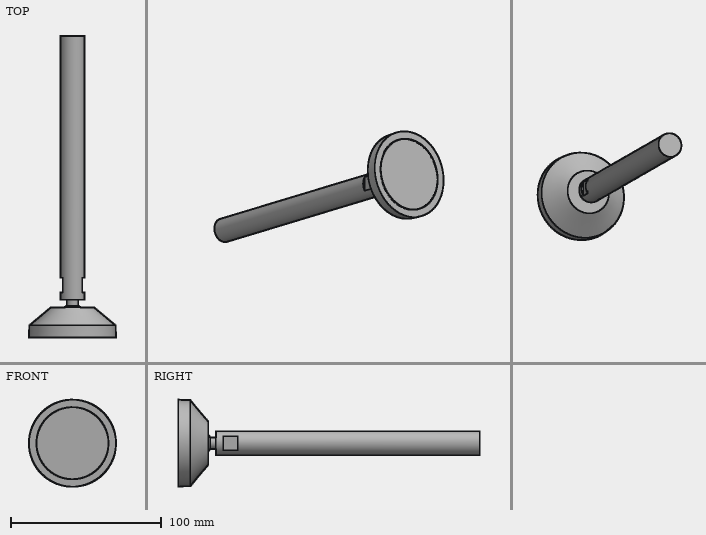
import cadquery as cq
import math

TOTAL_LENGTH = 200.0

FOOT_DIAMETER = 58.0
RIM_TOP_DIAMETER = 57.5
RIM_HEIGHT = 8.0
FOOT_TOP_DIAMETER = 28.8
FOOT_HEIGHT = 20.0

GROOVE_OUTER_DIAMETER = 48.0
GROOVE_INNER_DIAMETER = 47.5
GROOVE_DEPTH = 1.0

BALL_DIAMETER = 16.0
NECK_DIAMETER = 7.8
NECK_START = 21.2
ROD_DIAMETER = 16.0
ROD_START = 25.0
FLATS_START = 30.0
FLATS_LENGTH = 9.5
ACROSS_FLATS = 13.0

BALL_RADIUS = BALL_DIAMETER / 2
BALL_CENTER = NECK_START - math.sqrt(BALL_RADIUS**2 - (NECK_DIAMETER / 2) ** 2)


def cylinder_along_y(diameter, start, end):
    return cq.Workplane("XZ", origin=(0, start, 0)).circle(diameter / 2).extrude(start - end)


def make_ball():
    return cq.Workplane("XY", origin=(0, BALL_CENTER, 0)).sphere(BALL_RADIUS)


def make_foot():
    body = (
        cq.Workplane("XY")
        .lineTo(FOOT_DIAMETER / 2, 0)
        .lineTo(RIM_TOP_DIAMETER / 2, RIM_HEIGHT)
        .lineTo(FOOT_TOP_DIAMETER / 2, FOOT_HEIGHT)
        .lineTo(0, FOOT_HEIGHT)
        .close()
        .revolve(360, (0, 0, 0), (0, 1, 0))
    )
    groove = cylinder_along_y(GROOVE_OUTER_DIAMETER, 0, GROOVE_DEPTH).cut(
        cylinder_along_y(GROOVE_INNER_DIAMETER, 0, GROOVE_DEPTH)
    )
    return body.cut(groove).cut(make_ball())


def make_spindle():
    rod = cylinder_along_y(ROD_DIAMETER, ROD_START, TOTAL_LENGTH)
    flat_depth = (ROD_DIAMETER - ACROSS_FLATS) / 2
    flat_center_y = FLATS_START + FLATS_LENGTH / 2
    for side in (-1, 1):
        flat_center_x = side * (ACROSS_FLATS + flat_depth) / 2
        flat_cut = cq.Workplane("XY", origin=(flat_center_x, flat_center_y, 0)).box(
            flat_depth, FLATS_LENGTH, ROD_DIAMETER
        )
        rod = rod.cut(flat_cut)
    neck = cylinder_along_y(NECK_DIAMETER, BALL_CENTER, ROD_START)
    return rod.union(neck).union(make_ball())


foot = make_foot()
spindle = make_spindle()

result = cq.Compound.makeCompound([foot.val(), spindle.val()])